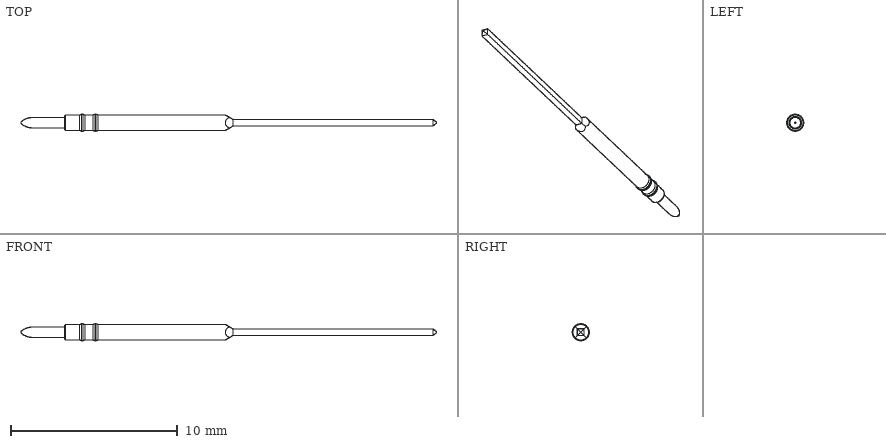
import cadquery as cq
import math


overall_length = 24.97

plunger_diameter = 0.64
plunger_radius = plunger_diameter / 2
nose_length = 0.69
nose_flat_diameter = 0.08
lip_setback = 2.68
plunger_tail_depth = 5.0

barrel_diameter = 0.94
barrel_radius = barrel_diameter / 2
lip_length = 0.06
lip_diameter = 0.75
barrel_length = 9.60
taper_length = 0.45
taper_end_width = 0.42

ring_diameter = 1.03
ring_base_width = 0.32
ring_crest_width = 0.08
ring_offsets = (0.852, 1.645)

post_width = 0.40
post_point_length = 0.21
post_point_width = 0.04

tip_x = -overall_length / 2
post_end_x = overall_length / 2
nose_end_x = tip_x + nose_length
lip_end_x = tip_x + lip_setback
mouth_x = lip_end_x - lip_length
taper_start_x = lip_end_x + barrel_length
taper_end_x = taper_start_x + taper_length
plunger_end_x = lip_end_x + plunger_tail_depth
post_point_x = post_end_x - post_point_length


def rod(start_x, end_x, diameter):
    """Round bar on the X axis."""
    return cq.Workplane("YZ", origin=(start_x, 0, 0)).circle(diameter / 2).extrude(end_x - start_x)


def square_frustum(start_x, end_x, start_width, end_width):
    """Square bar on the X axis whose width changes evenly along its length."""
    return (
        cq.Workplane("YZ", origin=(start_x, 0, 0))
        .rect(start_width, start_width)
        .workplane(offset=end_x - start_x)
        .rect(end_width, end_width)
        .loft(ruled=True)
    )


def make_plunger():
    nose_flat_radius = nose_flat_diameter / 2
    nose_middle_x = tip_x + nose_length / 2
    nose_rise = plunger_radius - nose_flat_radius
    nose_arc_radius = (nose_length**2 + nose_rise**2) / (2 * nose_rise)
    nose_arc_centre_y = plunger_radius - nose_arc_radius
    nose_middle_y = nose_arc_centre_y + math.sqrt(nose_arc_radius**2 - (nose_length / 2) ** 2)
    half_profile = (
        cq.Workplane("XY")
        .moveTo(tip_x, 0)
        .lineTo(tip_x, nose_flat_radius)
        .threePointArc((nose_middle_x, nose_middle_y), (nose_end_x, plunger_radius))
        .lineTo(plunger_end_x, plunger_radius)
        .lineTo(plunger_end_x, 0)
        .close()
    )
    return half_profile.revolve(360, (0, 0, 0), (1, 0, 0))


def make_ring(start_x):
    """Trapezoidal ring, solid to the axis so that it fuses with the barrel."""
    ramp_length = (ring_base_width - ring_crest_width) / 2
    end_x = start_x + ring_base_width
    half_profile = cq.Workplane("XY").polyline([
        (start_x, 0),
        (start_x, barrel_radius),
        (start_x + ramp_length, ring_diameter / 2),
        (end_x - ramp_length, ring_diameter / 2),
        (end_x, barrel_radius),
        (end_x, 0),
    ]).close()
    return half_profile.revolve(360, (0, 0, 0), (1, 0, 0))


def make_lip():
    """Chamfered mouth of the barrel around the plunger."""
    return (
        cq.Workplane("YZ", origin=(mouth_x, 0, 0))
        .circle(lip_diameter / 2)
        .workplane(offset=lip_length)
        .circle(barrel_radius)
        .loft(ruled=True)
    )


def make_barrel():
    barrel = rod(lip_end_x, taper_start_x, barrel_diameter)
    barrel = barrel.union(make_lip())
    for offset in ring_offsets:
        barrel = barrel.union(make_ring(lip_end_x + offset))

    taper = square_frustum(taper_start_x, taper_end_x, barrel_diameter, taper_end_width)
    barrel = barrel.union(taper.intersect(rod(taper_start_x, taper_end_x, barrel_diameter)))

    post = square_frustum(taper_end_x, post_point_x, post_width, post_width)
    point = square_frustum(post_point_x, post_end_x, post_width, post_point_width)
    barrel = barrel.union(post).union(point)

    bore = rod(mouth_x, plunger_end_x, plunger_diameter)
    return barrel.cut(bore)


plunger = make_plunger()
barrel = make_barrel()

result = cq.Compound.makeCompound([plunger.val(), barrel.val()])